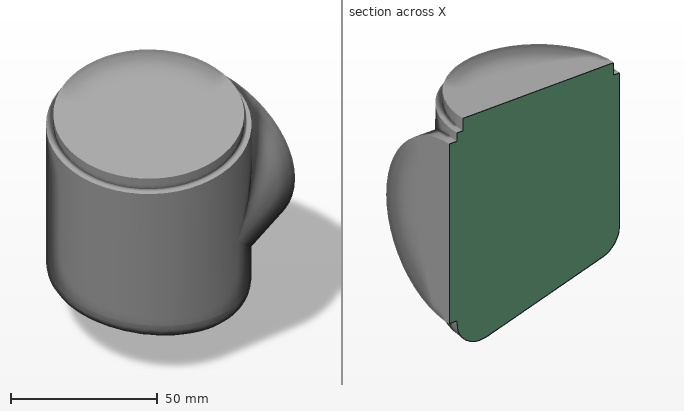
import cadquery as cq
import math

total_height = 88.8
body_radius = 35.0
spigot_radius = 32.5
spigot_height = 4.8
branch_length = 38.3
branch_axis_depth = 43.0
floor_angle = 16.0
floor_fillet = 10.0

floor_slope = math.tan(math.radians(floor_angle))
arc_center_y = body_radius - floor_fillet
arc_center_z = floor_fillet - total_height
floor_z_on_axis = (
    arc_center_z
    - floor_fillet / math.cos(math.radians(floor_angle))
    + arc_center_y * floor_slope
)


def floor_z(y):
    """Height of the sloped floor plane at a given Y."""
    return floor_z_on_axis - y * floor_slope


def make_body():
    """Vertical cylinder cut by the sloped floor, with a rounded floor edge."""
    shoulder_z = -spigot_height
    side_profile = (
        cq.Workplane("YZ")
        .moveTo(-body_radius, shoulder_z)
        .lineTo(body_radius, shoulder_z)
        .lineTo(body_radius, floor_z(body_radius))
        .lineTo(-body_radius, floor_z(-body_radius))
        .close()
        .extrude(body_radius, both=True)
    )
    cylinder = (
        cq.Workplane("XY")
        .workplane(offset=shoulder_z)
        .circle(body_radius)
        .extrude(floor_z(body_radius) - shoulder_z)
    )
    return cylinder.intersect(side_profile).faces("<Z").edges().fillet(floor_fillet)


def make_spigot():
    """Narrower disc on top of the body."""
    return cq.Workplane("XY").circle(spigot_radius).extrude(-spigot_height)


def make_branch():
    """Horizontal cylinder of the body's radius, running from the main axis to +Y."""
    return (
        cq.Workplane("XZ", origin=(0, 0, -branch_axis_depth))
        .circle(body_radius)
        .extrude(-branch_length)
    )


result = make_body().union(make_spigot()).union(make_branch())